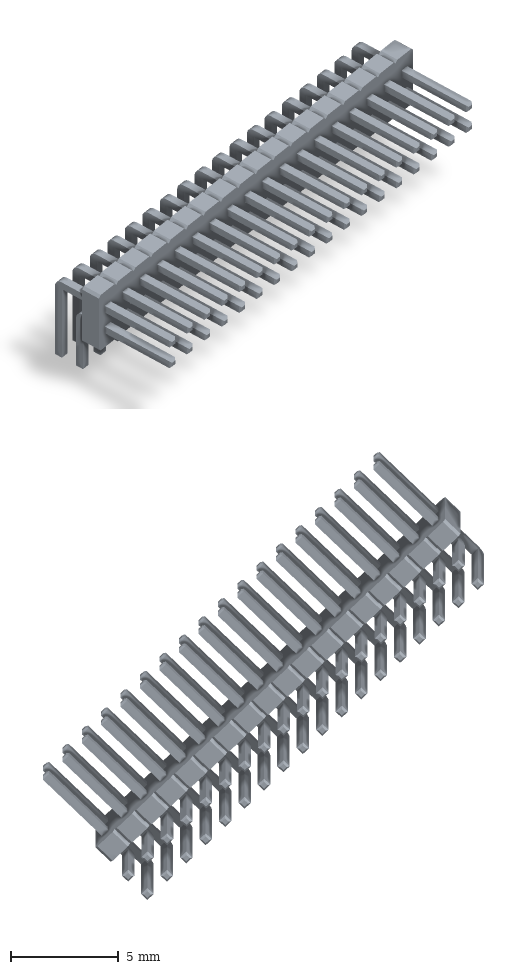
import cadquery as cq

position_count = 18
body_length = 22.85
pitch = body_length / position_count

body_width = 1.0
body_height = 3.4
notch_depth = 0.14
notch_half_width = 0.14

pin_size = 0.41
bend_radius = pin_size
tip_chamfer = 0.1
total_width = 6.97
total_height = 5.58
front_reach = 2.0

outer_x = -body_width / 2 - front_reach
pin_end_x = outer_x + total_width
pin_end_z = body_height / 2 - total_height


def body_segment():
    """One body position, bevelled along its four X edges."""
    half_length = pitch / 2
    half_height = body_height / 2
    flat_y = half_length - notch_half_width
    side_z = half_height - notch_depth
    outline = [
        (-flat_y, -half_height),
        (flat_y, -half_height),
        (half_length, -side_z),
        (half_length, side_z),
        (flat_y, half_height),
        (-flat_y, half_height),
        (-half_length, side_z),
        (-half_length, -side_z),
    ]
    return cq.Workplane("YZ").polyline(outline).close().extrude(body_width / 2, both=True)


def bent_pin(leg_x, centre_z):
    """Pin with its leg's outer face at leg_x and its straight run at centre_z."""
    top_z = centre_z + pin_size / 2
    run = cq.Workplane("XY").box(pin_end_x - leg_x, pin_size, pin_size, centered=(False, True, True))
    run = run.translate((leg_x, 0, centre_z)).faces(">X").chamfer(tip_chamfer)
    leg = cq.Workplane("XY").box(pin_size, pin_size, top_z - pin_end_z, centered=(False, True, False))
    leg = leg.translate((leg_x, 0, pin_end_z)).faces("<Z").chamfer(tip_chamfer)
    bend_edge = cq.selectors.NearestToPointSelector((leg_x, 0, top_z))
    return run.union(leg).edges(bend_edge).fillet(bend_radius)


upper_pin = bent_pin(outer_x, pitch / 2)
lower_pin = bent_pin(outer_x + pitch, -pitch / 2)
position = body_segment().union(upper_pin).union(lower_pin).val()

first_y = -(body_length - pitch) / 2
positions = [position.translate(cq.Vector(0, first_y + i * pitch, 0)) for i in range(position_count)]
result = cq.Workplane("XY").newObject([positions[0].fuse(*positions[1:]).clean()])